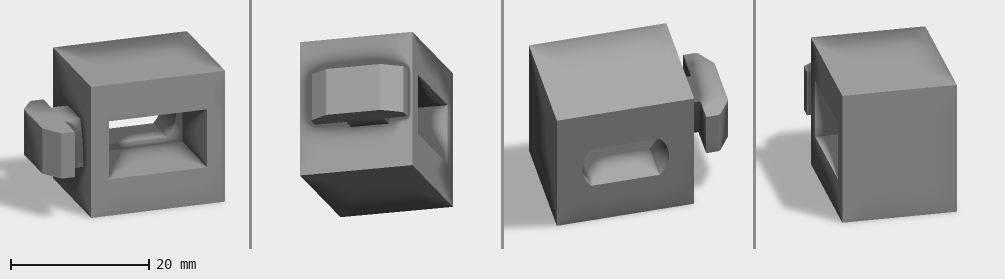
import cadquery as cq
import math

total_length = 27.0
block_width = 17.0
block_height = 20.3

key_height = 7.0
neck_width = 7.0
neck_length = 2.5
neck_flank_inset = 1.27
head_width = 14.0
head_depth = 4.0
head_bevel_x = 2.9
head_bevel_y = 1.95
head_edge_radius = 0.5

slot_length = 13.0
slot_height = key_height
slot_end_radius = 5.0

slot_wall = 6.0
recess_margin = 1.0

block_length = total_length - neck_length - head_depth
key_center_x = (block_width - head_width) / 2
head_back_y = -neck_length
head_front_y = head_back_y - head_depth


def make_block():
    return cq.Workplane("XY").box(
        block_width, block_length, block_height, centered=(True, False, True)
    )


def make_slot():
    """Slot with flat top and bottom and shallow arc ends."""
    half_length = slot_length / 2
    half_height = slot_height / 2
    arc_bulge = slot_end_radius - math.sqrt(slot_end_radius**2 - half_height**2)
    half_flat = half_length - arc_bulge
    return (
        cq.Workplane("YZ", origin=(0, block_length / 2, 0))
        .moveTo(-half_flat, -half_height)
        .lineTo(half_flat, -half_height)
        .threePointArc((half_length, 0), (half_flat, half_height))
        .lineTo(-half_flat, half_height)
        .threePointArc((-half_length, 0), (-half_flat, -half_height))
        .close()
        .extrude(block_width / 2, both=True)
    )


def make_recess():
    """Rectangular pocket that widens the slot towards the +X side."""
    return cq.Workplane("XY").box(
        block_width - slot_wall,
        slot_length + 2 * recess_margin,
        slot_height + 2 * recess_margin,
        centered=(False, True, True),
    ).translate((slot_wall - block_width / 2, block_length / 2, 0))


def make_neck():
    """Neck with two arc flanks, curving in at its upper right and lower left."""
    half_width = neck_width / 2
    half_height = key_height / 2
    narrow_x = half_width - neck_flank_inset
    flank_radius = (key_height**2 + neck_flank_inset**2) / (2 * neck_flank_inset)
    mid_inset = flank_radius - math.sqrt(flank_radius**2 - half_height**2)
    flank_mid_x = half_width - mid_inset
    return (
        cq.Workplane("XZ")
        .center(key_center_x, 0)
        .moveTo(-narrow_x, -half_height)
        .lineTo(half_width, -half_height)
        .threePointArc((flank_mid_x, 0), (narrow_x, half_height))
        .lineTo(-half_width, half_height)
        .threePointArc((-flank_mid_x, 0), (-narrow_x, -half_height))
        .close()
        .extrude(neck_length)
    )


def make_head():
    """Head with bevelled front corners and softened bevel edges."""
    half_width = head_width / 2
    half_front = half_width - head_bevel_x
    bevel_back_y = head_front_y + head_bevel_y
    head = (
        cq.Workplane("XY", origin=(key_center_x, 0, -key_height / 2))
        .moveTo(-half_width, head_back_y)
        .lineTo(-half_width, bevel_back_y)
        .lineTo(-half_front, head_front_y)
        .lineTo(half_front, head_front_y)
        .lineTo(half_width, bevel_back_y)
        .lineTo(half_width, head_back_y)
        .close()
        .extrude(key_height)
    )
    return head.edges("|Z").edges("not(>Y)").fillet(head_edge_radius)


body = make_block().cut(make_slot()).cut(make_recess())
result = body.union(make_neck()).union(make_head())